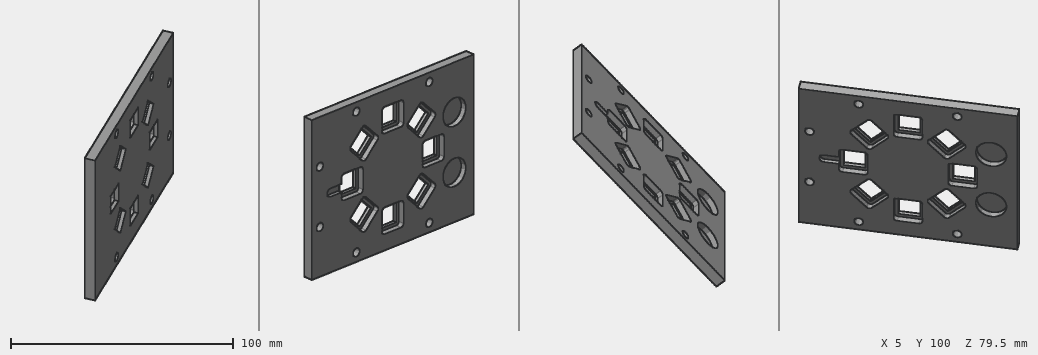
import cadquery as cq

plate_thickness = 5.0
plate_length = 100.0
plate_height = 79.5

window_count = 8
ring_radius = 25.0
window_side = 10.0
recess_side = 13.2
recess_corner_radius = 1.6
recess_depth = 3.0

hole_diameter = 4.1
edge_hole_y = 22.5
edge_hole_z = 35.0
side_hole_y = 45.0
side_hole_z = 15.0

round_pocket_diameter = 14.0
round_pocket_y = -38.0
round_pocket_z = side_hole_z
round_pocket_depth = recess_depth

groove_width = hole_diameter
groove_end_y = 40.5
groove_depth = 2.0

face_x = -plate_thickness / 2


def pocket_plane():
    """Work plane on the -X face: local x is +Y, local y is +Z, extrusion goes into the plate."""
    return cq.Workplane("YZ", origin=(face_x, 0, 0))


def window_cutter():
    """Through window and its recess, centred on the middle of the plate."""
    window = pocket_plane().rect(window_side, window_side).extrude(plate_thickness)
    recess = pocket_plane().rect(recess_side, recess_side).extrude(recess_depth)
    recess = recess.edges("|X").fillet(recess_corner_radius)
    return window.union(recess)


def cut_windows(body):
    """Cut the windows evenly around the ring, each turned to face the ring centre."""
    cutter = window_cutter().translate((0, ring_radius, 0))
    for index in range(window_count):
        angle = index * 360 / window_count
        body = body.cut(cutter.rotate((0, 0, 0), (1, 0, 0), angle))
    return body


def screw_holes():
    centres = [(y, z) for y in (-edge_hole_y, edge_hole_y) for z in (-edge_hole_z, edge_hole_z)]
    centres += [(side_hole_y, z) for z in (-side_hole_z, side_hole_z)]
    return pocket_plane().pushPoints(centres).circle(hole_diameter / 2).extrude(plate_thickness)


def round_pockets():
    centres = [(round_pocket_y, z) for z in (-round_pocket_z, round_pocket_z)]
    return pocket_plane().pushPoints(centres).circle(round_pocket_diameter / 2).extrude(round_pocket_depth)


def groove():
    """Round-ended groove whose inner end lies inside the +Y window."""
    length = groove_end_y - ring_radius
    centre_y = ring_radius + length / 2
    return pocket_plane().center(centre_y, 0).slot2D(length, groove_width).extrude(groove_depth)


plate = cq.Workplane("XY").box(plate_thickness, plate_length, plate_height)
plate = cut_windows(plate)
result = plate.cut(screw_holes()).cut(round_pockets()).cut(groove())